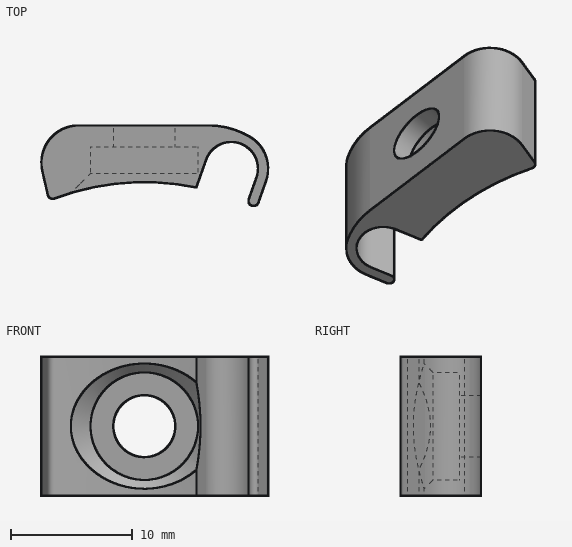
import cadquery as cq
import math

length = 18.66
depth = 6.65
height = 11.44

corner_radius = 3.08
left_wall_lean = 13.0
foot_radius = 0.43

hollow_radius = 20.9
hollow_center_x = 8.47
hollow_crest_y = -4.68

seat_radius = 2.18
arm_thickness = 0.85
seat_y = -3.56
hook_lean = 19.5
back_blend_radius = 6.72

hole_radius = 2.54
bore_radius = 4.42
bore_floor_y = -1.8
flare_start_y = -3.95

hook_radius = seat_radius + arm_thickness
seat_x = length - hook_radius


def polar(center, radius, degrees):
    """Point at the given angle on a circle."""
    angle = math.radians(degrees)
    return (center[0] + radius * math.cos(angle), center[1] + radius * math.sin(angle))


def meet_hollow(start, drift):
    """Where a wall leaving start toward -Y, drifting by drift in X per unit, meets the front face."""
    hollow_center_y = hollow_crest_y - hollow_radius
    offset = start[0] - hollow_center_x + drift * (start[1] - hollow_center_y)
    slope = 1 + drift**2
    root = math.sqrt(slope * hollow_radius**2 - offset**2)
    rise = (offset * drift + root) / slope
    return (hollow_center_x + offset - drift * rise, hollow_center_y + rise)


def make_body():
    corner = (corner_radius, -corner_radius)
    seat = (seat_x, seat_y)

    wall_start = polar(corner, corner_radius, 180 + left_wall_lean)
    foot = meet_hollow(wall_start, math.tan(math.radians(left_wall_lean)))

    seat_body_end = polar(seat, seat_radius, 180 - hook_lean)
    seat_arm_end = polar(seat, seat_radius, -hook_lean)
    lip = meet_hollow(seat_body_end, -math.tan(math.radians(hook_lean)))

    tip_radius = arm_thickness / 2
    arm_middle = polar(seat, seat_radius + tip_radius, -hook_lean)
    tip_drop = arm_middle[1] + depth - tip_radius
    tip = (arm_middle[0] - tip_drop * math.tan(math.radians(hook_lean)), tip_radius - depth)

    rise = back_blend_radius + seat_y
    run = math.sqrt((back_blend_radius - hook_radius) ** 2 - rise**2)
    blend = (seat_x - run, -back_blend_radius)
    blend_end = math.degrees(math.atan2(rise, run))

    profile = (
        cq.Workplane("XY")
        .moveTo(corner_radius, 0)
        .lineTo(blend[0], 0)
        .threePointArc(
            polar(blend, back_blend_radius, (90 + blend_end) / 2),
            polar(blend, back_blend_radius, blend_end),
        )
        .threePointArc((length, seat_y), polar(seat, hook_radius, -hook_lean))
        .lineTo(*polar(tip, tip_radius, -hook_lean))
        .threePointArc(
            polar(tip, tip_radius, -90 - hook_lean),
            polar(tip, tip_radius, 180 - hook_lean),
        )
        .lineTo(*seat_arm_end)
        .threePointArc(polar(seat, seat_radius, 90 - hook_lean), seat_body_end)
        .lineTo(*lip)
        .threePointArc((hollow_center_x, hollow_crest_y), foot)
        .lineTo(*wall_start)
        .threePointArc(polar(corner, corner_radius, 135), (corner_radius, 0))
        .close()
    )
    body = profile.extrude(height)
    foot_edge = cq.selectors.NearestToPointSelector((foot[0], foot[1], height / 2))
    return body.edges("|Z").edges(foot_edge).fillet(foot_radius)


def make_screw_hole():
    """Through hole, wider bore and flared mouth as one turned cutter."""
    mouth_y = -depth
    mouth_radius = bore_radius + flare_start_y - mouth_y
    cutter = (
        cq.Workplane("XY")
        .polyline([
            (0, 0),
            (hole_radius, 0),
            (hole_radius, bore_floor_y),
            (bore_radius, bore_floor_y),
            (bore_radius, flare_start_y),
            (mouth_radius, mouth_y),
            (0, mouth_y),
        ])
        .close()
        .revolve(360, (0, 0, 0), (0, 1, 0))
    )
    return cutter.translate((hollow_center_x, 0, height / 2))


cutter = make_screw_hole()
cutter_limit = cq.Workplane("XY").box(seat_x, depth, height, centered=False).translate((0, -depth, 0))
result = make_body().cut(cutter.intersect(cutter_limit))